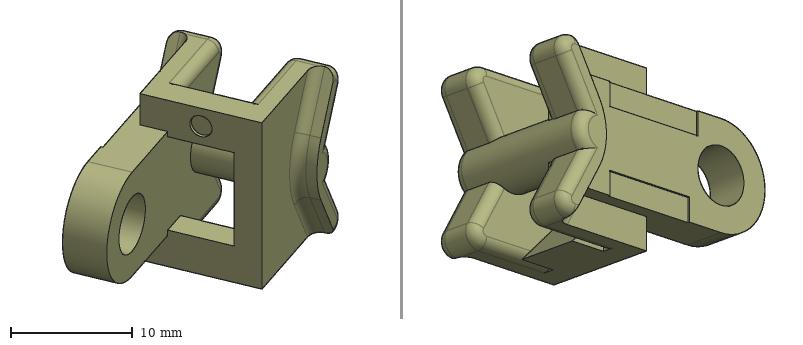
import cadquery as cq
import math


height = 16.0
arm_outer_x = 5.5
arm_inner_x = 3.0
base_front_y = -7.0
base_thickness = 2.5
window_height = 8.99

overall_width = 15.0
wing_thickness = 2.0
wing_slope = math.radians(30)
notch_root_y = 0.82
tip_radius = 1.4
edge_radius = 1.0
wing_back_radius = 6.0
wing_root_radius = 1.0

pin_diameter = 5.0

ramp_slope = math.radians(45)

lug_outer_x = 7.0
lug_width = 10.0
hole_diameter = 5.2
hole_y = -14.0
lug_root_radius = 0.5

label_depth = 0.19
label_height = 2.2
label_start_y = -1.43
upper_label_length = 10.0
lower_label_length = 9.0
badge_diameter = 2.0
badge_z = 6.27
badge_depth = 0.3

clearance = 1.87

half_height = height / 2
half_width = overall_width / 2
half_lug = lug_width / 2
pin_radius = pin_diameter / 2
base_inner_y = base_front_y + base_thickness
back_root_y = notch_root_y - wing_thickness / math.cos(wing_slope)


def front_y(z):
    """Y of the sloping wing front at height z."""
    return notch_root_y + abs(z) * math.tan(wing_slope)


def back_y(z):
    """Y of the sloping wing back at height z, before its middle is rounded."""
    return back_root_y + abs(z) * math.tan(wing_slope)


def yz_plane(x):
    """Workplane at the given X, drawn in (Y, Z) and extruding towards +X."""
    return cq.Workplane("YZ", origin=(x, 0, 0))


def back_space():
    """Space outside the right arm and behind its wing; its rounded inner rim shapes the wing root."""
    top = half_height + clearance
    end_y = base_front_y - clearance
    return (
        yz_plane(arm_outer_x)
        .moveTo(end_y, -top)
        .lineTo(back_y(top), -top)
        .lineTo(back_root_y, 0)
        .lineTo(back_y(top), top)
        .lineTo(end_y, top)
        .close()
        .extrude(half_width - arm_outer_x + clearance)
        .edges(cq.selectors.NearestToPointSelector((half_width, back_root_y, 0)))
        .fillet(wing_back_radius)
        .faces("<X")
        .edges()
        .fillet(wing_root_radius)
    )


def right_arm():
    """Arm with its wing and half of the pin, rounded along the wing front, tips, top and bottom."""
    tip_y = front_y(half_height)
    arm = (
        yz_plane(arm_inner_x)
        .moveTo(base_front_y, -half_height)
        .lineTo(tip_y, -half_height)
        .lineTo(notch_root_y, 0)
        .lineTo(tip_y, half_height)
        .lineTo(base_front_y, half_height)
        .close()
        .extrude(half_width - arm_inner_x)
    )
    arm = arm.edges("|X and >Y").fillet(tip_radius)
    arm = arm.faces("<X or >X").edges("not <Y").fillet(edge_radius)
    return arm.union(half_pin()).cut(back_space())


def base():
    """Flat base of the channel with its window."""
    plate = cq.Workplane("XY").box(2 * arm_outer_x, base_thickness, height)
    window = cq.Workplane("XY").box(2 * arm_inner_x, base_thickness, window_height)
    return plate.cut(window).translate((0, base_front_y + base_thickness / 2, 0))


def half_pin():
    """Right half of the pin, with a rounded end."""
    return yz_plane(0).circle(pin_radius).extrude(half_width).faces(">X").edges().fillet(edge_radius)


def ramp():
    """Ramp between the arms, falling from the lower rim of the window to the bottom of the base."""
    drop = half_height - window_height / 2
    return (
        yz_plane(-arm_inner_x)
        .moveTo(base_inner_y, -half_height)
        .lineTo(base_inner_y, drop - half_height)
        .lineTo(base_inner_y + drop / math.tan(ramp_slope), -half_height)
        .close()
        .extrude(2 * arm_inner_x)
    )


def lug():
    """Round-ended lug on the left arm, blended into the back of the wing."""
    flare_z = half_lug + lug_root_radius
    length_x = lug_outer_x - arm_inner_x
    blade = (
        yz_plane(-lug_outer_x)
        .moveTo(hole_y, -half_lug)
        .lineTo(back_y(half_lug), -half_lug)
        .lineTo(back_y(flare_z), -flare_z)
        .lineTo(back_y(flare_z), flare_z)
        .lineTo(back_y(half_lug), half_lug)
        .lineTo(hole_y, half_lug)
        .threePointArc((hole_y - half_lug, 0), (hole_y, -half_lug))
        .close()
        .extrude(length_x)
    )
    for side in (-1, 1):
        corner = (-lug_outer_x + length_x / 2, back_y(half_lug), side * half_lug)
        blade = blade.edges(cq.selectors.NearestToPointSelector(corner)).fillet(lug_root_radius)
    hole = yz_plane(-lug_outer_x).center(hole_y, 0).circle(hole_diameter / 2).extrude(length_x)
    return blade.cut(hole)


def label_recess(length, side):
    """Shallow recess along the upper (side 1) or lower (side -1) rim of the lug's outer face."""
    centre_y = label_start_y - length / 2
    centre_z = side * (half_lug - label_height / 2)
    return yz_plane(-lug_outer_x).center(centre_y, centre_z).rect(length, label_height).extrude(label_depth)


def badge_recess():
    """Shallow round recess in the base, above the window."""
    return (
        cq.Workplane("XZ", origin=(0, base_front_y + badge_depth, badge_z))
        .circle(badge_diameter / 2)
        .extrude(badge_depth)
    )


arm = right_arm()
result = base().union(arm).union(arm.mirror("YZ")).union(ramp()).union(lug())
result = result.cut(badge_recess())
result = result.cut(label_recess(upper_label_length, 1)).cut(label_recess(lower_label_length, -1))